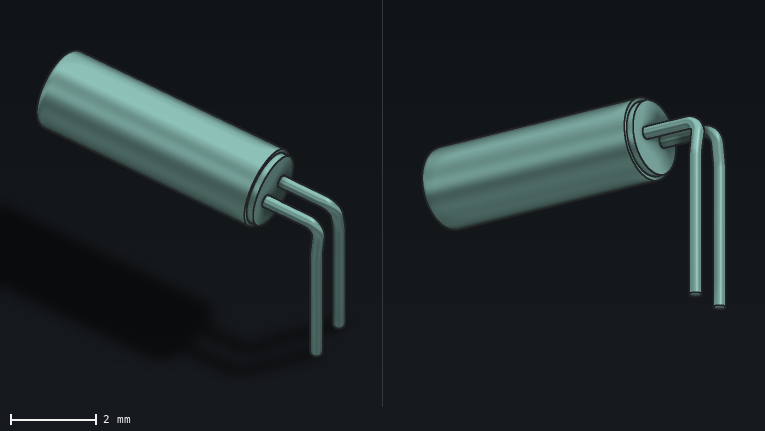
import cadquery as cq
import math

can_radius = 1.0
can_length = 5.82
can_edge_fillet = 0.2

plug_radius = 0.9
overall_body_length = 6.0

lead_radius = 0.15
lead_root_offset = 0.35
lead_tip_offset = 0.5
lead_tip_x = 7.5
lead_tip_z = -4.45
bend_radius = 0.35
elbow_radius = 1.0
elbow_end_z = -0.95

splay_offset = lead_tip_offset - lead_root_offset
elbow_center_offset = elbow_radius - splay_offset
elbow_center_distance = math.hypot(elbow_center_offset, elbow_end_z)
splay_angle = (
    math.atan2(-elbow_end_z, elbow_center_offset)
    - math.acos(elbow_radius / elbow_center_distance)
)


def make_body():
    can = cq.Workplane("YZ").circle(can_radius).extrude(can_length)
    can = can.faces("<X").edges().fillet(can_edge_fillet)
    plug_length = overall_body_length - can_length
    return can.faces(">X").workplane().circle(plug_radius).extrude(plug_length)


def make_lead(side):
    """Sweep one lead; side is +1 for the +Y lead and -1 for the -Y lead."""
    bend_start_x = lead_tip_x - bend_radius
    splay_sin = math.sin(splay_angle)
    splay_cos = math.cos(splay_angle)

    elbow_shift = elbow_radius * (1 - splay_cos)
    splay_length = (splay_offset - elbow_shift) / splay_sin

    def splay_point(x, distance):
        y = lead_root_offset + distance * splay_sin
        return cq.Vector(x, side * y, -distance * splay_cos)

    root = splay_point(overall_body_length, 0)
    bend_start = splay_point(bend_start_x, 0)
    bend_end = splay_point(lead_tip_x, bend_radius)
    elbow_start = splay_point(lead_tip_x, splay_length)
    elbow_end = cq.Vector(lead_tip_x, side * lead_tip_offset, elbow_end_z)
    tip = cq.Vector(lead_tip_x, side * lead_tip_offset, lead_tip_z)

    along_x = cq.Vector(1, 0, 0)
    splay_direction = cq.Vector(0, side * splay_sin, -splay_cos)
    path = cq.Wire.assembleEdges([
        cq.Edge.makeLine(root, bend_start),
        cq.Edge.makeTangentArc(bend_start, along_x, bend_end),
        cq.Edge.makeLine(bend_end, elbow_start),
        cq.Edge.makeTangentArc(elbow_start, splay_direction, elbow_end),
        cq.Edge.makeLine(elbow_end, tip),
    ])
    section = cq.Workplane(cq.Plane(root, normal=along_x)).circle(lead_radius)
    return section.sweep(cq.Workplane(path))


result = make_body()
for lead_side in (1, -1):
    result = result.union(make_lead(lead_side))